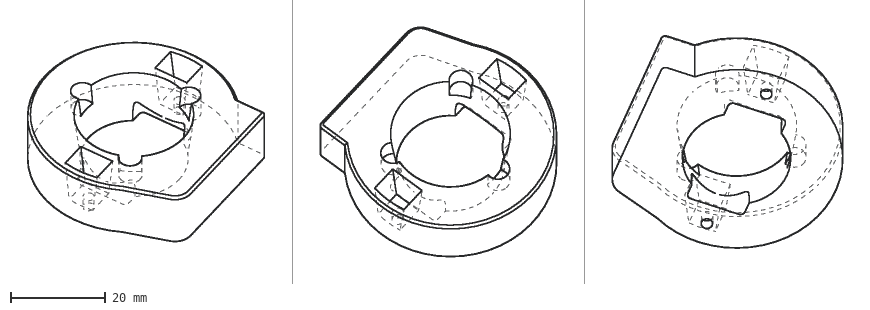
import cadquery as cq
import math

height = 13.0
outer_radius = 22.55
lobe_x = 23.05
lobe_top_y = 16.2
lobe_corner_y = -15.85
lobe_start_x = 10.3
small_corner_radius = 1.0
large_corner_radius = 4.0
edge_chamfer = 0.6

bore_top_radius = 12.7
bore_middle_radius = 12.18
lip_radius = 11.5
lip_height = 2.9

recess_diameter = 5
recess_pitch_radius = 13.1
recess_depth = 5
recess_angles = (60, 180, 300)

pocket_top_width = 8.05
pocket_floor_width = 6.0
pocket_inner_y = 14.3
pocket_outer_radius = 20.7
pocket_depth = 10.05
screw_diameter = 2.4
screw_y = 17.55

relief_width = 13.0
relief_bottom_y = 12.9
relief_slope = 2
relief_corner_radius = 1.0


def make_body():
    lobe_top_x = math.sqrt(outer_radius**2 - lobe_top_y**2)
    lobe_start_y = -math.sqrt(outer_radius**2 - lobe_start_x**2)
    body = (
        cq.Workplane("XY")
        .moveTo(lobe_top_x, lobe_top_y)
        .threePointArc((-outer_radius, 0), (lobe_start_x, lobe_start_y))
        .lineTo(lobe_x, lobe_corner_y)
        .lineTo(lobe_x, lobe_top_y)
        .close()
        .extrude(height)
    )
    body = body.edges("|Z and >X and >Y").fillet(small_corner_radius)
    large_corner = cq.selectors.NearestToPointSelector((lobe_x, lobe_corner_y, height / 2))
    body = body.edges(large_corner).fillet(large_corner_radius)
    return body.faces(">Z").edges().chamfer(edge_chamfer)


def make_bore():
    middle_z = (lip_height + height) / 2
    return (
        cq.Workplane("XZ")
        .lineTo(lip_radius, 0)
        .lineTo(lip_radius, lip_height)
        .threePointArc((bore_middle_radius, middle_z), (bore_top_radius, height))
        .lineTo(0, height)
        .close()
        .revolve(360, (0, 0, 0), (0, 1, 0))
    )


def make_recess(angle):
    return (
        cq.Workplane("XY", origin=(0, 0, height - recess_depth))
        .center(
            recess_pitch_radius * math.cos(math.radians(angle)),
            recess_pitch_radius * math.sin(math.radians(angle)),
        )
        .circle(recess_diameter / 2)
        .extrude(recess_depth)
    )


def make_screw_pocket():
    """Pocket on the +Y side, with its screw hole through the floor."""
    floor_z = height - pocket_depth
    tapered_slot = (
        cq.Workplane("XZ", origin=(0, pocket_inner_y, 0))
        .moveTo(-pocket_floor_width / 2, floor_z)
        .lineTo(pocket_floor_width / 2, floor_z)
        .lineTo(pocket_top_width / 2, height)
        .lineTo(-pocket_top_width / 2, height)
        .close()
        .extrude(pocket_inner_y - outer_radius)
    )
    outer_limit = cq.Workplane("XY").circle(pocket_outer_radius).extrude(height)
    screw_hole = cq.Workplane("XY").center(0, screw_y).circle(screw_diameter / 2).extrude(height)
    return tapered_slot.intersect(outer_limit).union(screw_hole)


def make_relief():
    """Wedge on the +Y side, widest at the underside, with rounded sloping corners."""
    return (
        cq.Workplane("YZ")
        .lineTo(relief_bottom_y, 0)
        .lineTo(0, relief_bottom_y * relief_slope)
        .close()
        .extrude(relief_width / 2, both=True)
        .edges("(not |X) and (not |Y) and (not |Z)")
        .fillet(relief_corner_radius)
    )


result = make_body().cut(make_bore())
for recess_angle in recess_angles:
    result = result.cut(make_recess(recess_angle))
for side_cut in (make_screw_pocket(), make_relief()):
    result = result.cut(side_cut).cut(side_cut.mirror("XZ"))